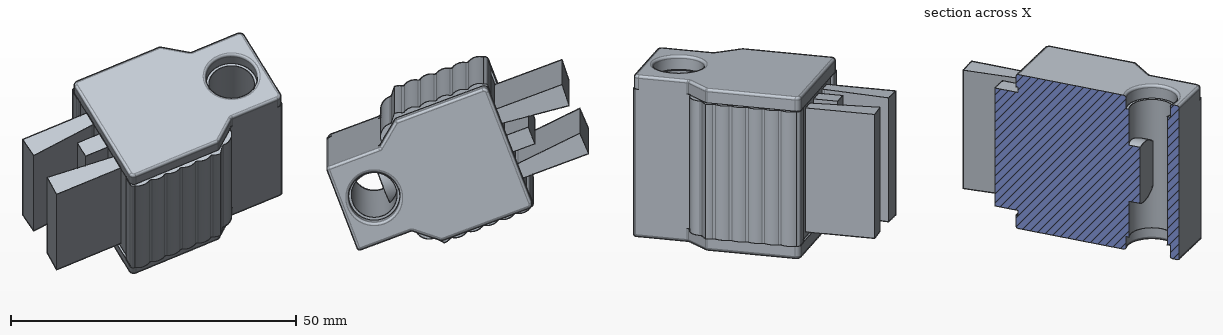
import cadquery as cq
import math


total_length = 43.75
total_width = 24.72
total_height = 30.0
cap_thickness = 2.55
body_height = total_height - 2 * cap_thickness

neck_width = 15.95
housing_width = 22.97
housing_length = 31.5
cap_shoulder_start = 10.05
body_shoulder_start = 10.95
shoulder_end = 14.35
small_radius = 0.5
top_back_radius = 1.0
cap_front_radius = 0.88

eyelet_center = 6.05
eyelet_diameter = 8.0
cap_eyelet_diameter = 9.0
pin_diameter = 11.45
pin_end = eyelet_center + 1.5

grip_front = 31.6
body_front = grip_front - small_radius
grip_inner_x = 9.2
ripple_radius = 2.5
ripple_pitch = 2.998
ripple_count = 6
ripple_first = 14.5
ripple_taper = 0.025
grip_back = 11.95
grip_corner_radius = 0.55
ear_radius = 2.5
ear_x = 8.45
ear_center = 13.1

blade_height = 23.0
blade_outer_x = 6.6
blade_root_x = 3.85
blade_tip_x = 2.63
blade_tip_setback = 0.18
stop_width = 3.2
stop_end = 35.55
root_depth = 30.65


def upright(sketch, height):
    """Extrude an XY outline by the given height, centered on Z = 0."""
    return sketch.extrude(height / 2, both=True)


def near_y(solid, low, high):
    """Upright edges whose distance from the back lies between two limits."""
    return solid.edges("|Z").filter(lambda edge: low < -edge.Center().y < high)


def eyelet(diameter, height):
    """Upright cylinder on the eyelet axis."""
    return upright(cq.Workplane("XY").center(0, -eyelet_center).circle(diameter / 2), height)


def housing(height, shoulder_start, front):
    """Necked housing outline with sharp corners, extruded about Z = 0."""
    right_side = [
        (neck_width / 2, 0),
        (neck_width / 2, -shoulder_start),
        (housing_width / 2, -shoulder_end),
        (housing_width / 2, -front),
    ]
    left_side = [(-x, y) for x, y in reversed(right_side)]
    return upright(cq.Workplane("XY").polyline(right_side + left_side).close(), height)


def cap(back_radius):
    """Top cap with rounded upright corners, top edges and eyelet rim."""
    plate = housing(cap_thickness, cap_shoulder_start, housing_length)
    plate = near_y(plate, -0.45, 0.45).fillet(back_radius)
    plate = near_y(plate, cap_shoulder_start - 0.45, shoulder_end + 0.45).fillet(small_radius)
    plate = near_y(plate, housing_length - 0.45, housing_length + 0.45).fillet(cap_front_radius)
    plate = plate.cut(eyelet(cap_eyelet_diameter, total_height))
    plate = plate.faces(">Z").edges().fillet(small_radius)
    return plate.translate((0, 0, (body_height + cap_thickness) / 2))


def body():
    """Middle block, set back from the caps at the front, with the pin in its eyelet."""
    block = housing(body_height, body_shoulder_start, body_front)
    block = near_y(block, -0.45, 0.45).fillet(small_radius)
    return block.cut(eyelet(eyelet_diameter, body_height)).union(pin())


def pin():
    """Round pin along Y that ends inside the eyelet."""
    length = housing_length / 2 - pin_end
    return cq.Workplane("XZ").workplane(offset=pin_end).circle(pin_diameter / 2).extrude(length)


def grip():
    """Rippled grip with its rounded ear on the +X side."""
    crest_x = total_width / 2
    valley_drop = ripple_radius - math.sqrt(ripple_radius**2 - (ripple_pitch / 2) ** 2)
    first_valley = ripple_first + ripple_pitch / 2
    valleys = [
        (crest_x - valley_drop - i * ripple_taper, -first_valley - i * ripple_pitch)
        for i in range(ripple_count)
    ]

    outline = cq.Workplane("XY").moveTo(grip_inner_x, -grip_back).lineTo(crest_x, -ripple_first)
    for valley in valleys:
        outline = outline.radiusArc(valley, ripple_radius)
    outline = outline.lineTo(valleys[-1][0], -grip_front).lineTo(grip_inner_x, -grip_front).close()
    block = upright(outline, body_height)

    block = near_y(block, first_valley - 0.45, -valleys[-2][1] + 0.45).fillet(small_radius)
    block = block.edges("|Z").edges("<Y").edges(">X").fillet(grip_corner_radius)
    block = block.edges("|Z").edges("<Y").edges("<X").fillet(small_radius)

    ear = upright(cq.Workplane("XY").center(ear_x, -ear_center).circle(ear_radius), body_height)
    block = block.union(ear)
    return near_y(block, ear_center, ripple_first - 0.45).edges(">X").fillet(small_radius)


def blade():
    """Tapered contact blade on the +X side."""
    outline = cq.Workplane("XY").polyline([
        (blade_outer_x, -root_depth),
        (blade_outer_x, -total_length),
        (blade_tip_x, -total_length + blade_tip_setback),
        (blade_root_x, -housing_length),
        (blade_root_x, -root_depth),
    ]).close()
    return upright(outline, blade_height)


def stop():
    """Short block between the blades."""
    length = stop_end - root_depth
    block = cq.Workplane("XY").box(stop_width, length, blade_height)
    return block.translate((0, -root_depth - length / 2, 0))


top_cap = cap(top_back_radius)
bottom_cap = cap(small_radius).mirror("XY")
result = body().union(top_cap).union(bottom_cap).union(stop())
for side_part in (grip(), blade()):
    result = result.union(side_part).union(side_part.mirror("YZ"))